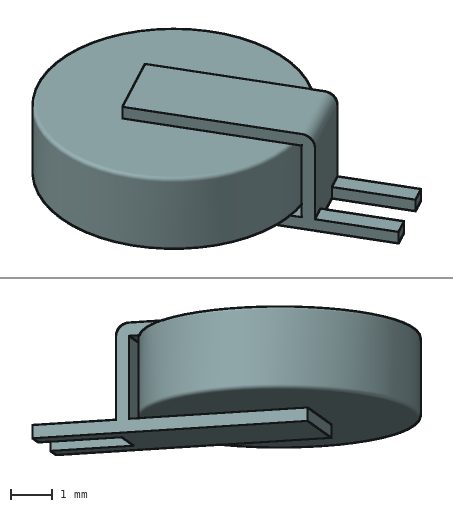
import cadquery as cq

cell_diameter = 6.8
cell_height = 2.04
cell_edge_radius = 0.1

strip_thickness = 0.33
strip_width = 2.0
strip_start_x = -1.0
strip_end_x = 5.9
wall_clearance = 0.08
prong_width = 0.5

wall_inner_x = cell_diameter / 2 + wall_clearance
wall_outer_x = wall_inner_x + strip_thickness
clip_bottom_z = -strip_thickness
clip_top_z = cell_height + strip_thickness
bend_radius = strip_thickness
prong_gap = strip_width - 2 * prong_width
prong_length = strip_end_x - wall_outer_x


def make_cell():
    """Round cell with both rims rounded."""
    disc = cq.Workplane("XY").circle(cell_diameter / 2).extrude(cell_height)
    return disc.edges("%CIRCLE").fillet(cell_edge_radius)


def make_clip():
    """Upper arm, wall and lower arm in one profile; the lower arm runs on as two prongs."""
    strip = (
        cq.Workplane("XZ")
        .moveTo(strip_start_x, clip_bottom_z)
        .lineTo(strip_end_x, clip_bottom_z)
        .lineTo(strip_end_x, 0)
        .lineTo(wall_outer_x, 0)
        .lineTo(wall_outer_x, clip_top_z - bend_radius)
        .radiusArc((wall_outer_x - bend_radius, clip_top_z), -bend_radius)
        .lineTo(strip_start_x, clip_top_z)
        .lineTo(strip_start_x, cell_height)
        .lineTo(wall_inner_x, cell_height)
        .lineTo(wall_inner_x, 0)
        .lineTo(strip_start_x, 0)
        .close()
        .extrude(strip_width / 2, both=True)
    )
    gap = cq.Workplane("XY").box(
        prong_length, prong_gap, strip_thickness, centered=(False, True, False)
    ).translate((wall_outer_x, 0, clip_bottom_z))
    return strip.cut(gap)


cell = make_cell()
clip = make_clip()

result = cq.Compound.makeCompound([cell.val(), clip.val()])